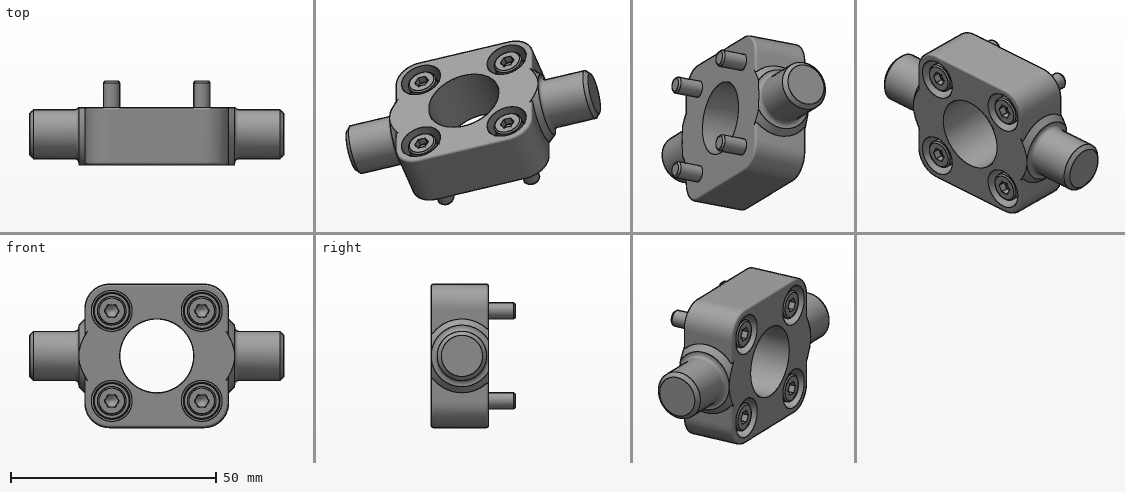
import cadquery as cq
import math


block_side = 35.0
corner_radius = 6.0
edge_fillet = 0.6
front_y = -7.5
back_y = 6.5
block_depth = back_y - front_y
bore_diameter = 18.0

overall_length = 62.0
trunnion_radius = 12.0 / 2
trunnion_chamfer = 1.0
root_fillet = 1.0
boss_base_radius = 9.0
boss_height = 1.5

screw_offset = 11.0
counterbore_diameter = 10.0
washer_diameter = 9.0
washer_thickness = 0.8
washer_bevel = 0.25
head_diameter = 7.0
head_height = 4.0
head_recess = 0.5
head_chamfer = 0.4
hex_flats = 3.0
hex_depth = 2.0
drill_point_angle = 120.0
shank_diameter = 4.0
shank_length = 16.0
shank_tip_height = 0.5
shank_tip_inset = 0.4

head_top_y = front_y + head_recess
head_seat_y = head_top_y + head_height
counterbore_floor_y = head_seat_y + washer_thickness


def plane_facing_back(y):
    """Workplane normal to the bore axis at the given y, extruding towards +Y."""
    return cq.Workplane(cq.Plane(origin=(0, y, 0), xDir=(1, 0, 0), normal=(0, 1, 0)))


def disc(diameter, start_y, end_y):
    """Cylinder along the bore axis."""
    return plane_facing_back(start_y).circle(diameter / 2).extrude(end_y - start_y)


def make_block():
    """Square block with rounded corners and rounded front and back edges."""
    body = plane_facing_back(front_y).rect(block_side, block_side).extrude(block_depth)
    return body.edges("|Y").fillet(corner_radius).faces("<Y or >Y").fillet(edge_fillet)


def make_trunnions():
    """Both trunnions as one revolved bar, trimmed to the front and back faces of the block."""
    end_x = overall_length / 2
    boss_top_x = block_side / 2 + boss_height
    boss_top_radius = boss_base_radius - boss_height
    fillet_outer_radius = trunnion_radius + root_fillet
    fillet_end_x = boss_top_x + root_fillet
    cone_start_x = block_side / 2 - edge_fillet
    cone_start_radius = boss_base_radius + edge_fillet
    fillet_mid = root_fillet * (1 - math.sqrt(0.5))
    half = (
        cq.Workplane("XY")
        .lineTo(0, cone_start_radius)
        .lineTo(cone_start_x, cone_start_radius)
        .lineTo(boss_top_x, boss_top_radius)
        .lineTo(boss_top_x, fillet_outer_radius)
        .threePointArc(
            (boss_top_x + fillet_mid, trunnion_radius + fillet_mid),
            (fillet_end_x, trunnion_radius),
        )
        .lineTo(end_x - trunnion_chamfer, trunnion_radius)
        .lineTo(end_x, trunnion_radius - trunnion_chamfer)
        .lineTo(end_x, 0)
        .close()
        .revolve(360, (0, 0, 0), (1, 0, 0))
    )
    trim = plane_facing_back(front_y).rect(overall_length, block_side).extrude(block_depth)
    return half.union(half.mirror("YZ")).intersect(trim)


def make_hex_socket():
    """Hexagonal socket with corners along X and a conical bottom."""
    hex_corners = hex_flats / math.cos(math.radians(30))
    cone_height = hex_corners / 2 / math.tan(math.radians(drill_point_angle / 2))
    socket_floor_y = head_top_y + hex_depth
    hexagon = plane_facing_back(head_top_y).polygon(6, hex_corners).extrude(hex_depth)
    cone = cq.Workplane(
        cq.Solid.makeCone(
            hex_corners / 2, 0, cone_height, cq.Vector(0, socket_floor_y, 0), cq.Vector(0, 1, 0)
        )
    )
    return hexagon.union(cone)


def make_screw():
    """Socket head screw with its washer, centred on the Y axis."""
    washer = disc(washer_diameter, head_seat_y, counterbore_floor_y)
    washer = washer.faces("<Y").chamfer(washer_bevel)
    head = disc(head_diameter, head_top_y, head_seat_y).faces("<Y").chamfer(head_chamfer)
    head = head.cut(make_hex_socket())
    shank_radius = shank_diameter / 2
    shank = (
        cq.Workplane("XY", origin=(0, head_seat_y, 0))
        .lineTo(shank_radius, 0)
        .lineTo(shank_radius, shank_length - shank_tip_height)
        .lineTo(shank_radius - shank_tip_inset, shank_length)
        .lineTo(0, shank_length)
        .close()
        .revolve(360, (0, 0, 0), (0, 1, 0))
    )
    return head.union(washer).union(shank)


result = make_block().union(make_trunnions())
result = result.cut(disc(bore_diameter, front_y, back_y))

counterbore = disc(counterbore_diameter, front_y, counterbore_floor_y)
screw = make_screw()
for x in (-screw_offset, screw_offset):
    for z in (-screw_offset, screw_offset):
        position = (x, 0, z)
        result = result.cut(counterbore.translate(position))
        result = result.union(screw.translate(position))